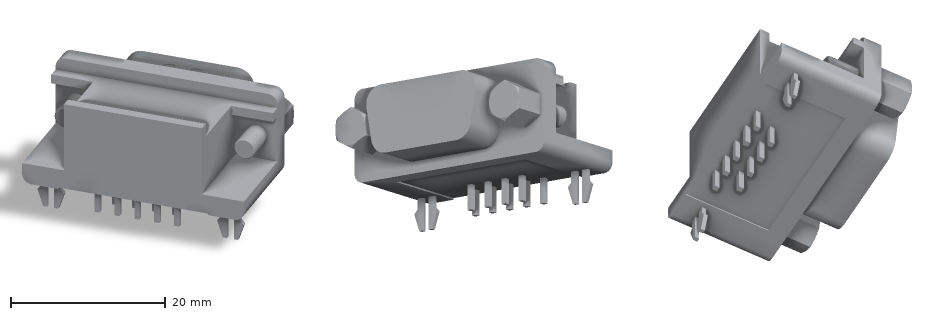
import cadquery as cq
import math


width = 30.8
housing_height = 12.5
housing_depth = 14.75
corner_radius = 1.32
flange_thickness = 2.55
flange_rear = housing_depth - flange_thickness
block_width = 19.15
block_height = 10.7
rear_wall_thickness = 1.4
floor_thickness = 2.85
ledge_depth = 1.6
ledge_thickness = 1.25
underside_recess_width = 20.9
underside_recess_depth = 0.22

shell_length = 6.13
shell_bottom = 1.6
shell_height = 9.2
shell_top_width = 18.67
shell_side_angle = 10.0
shell_corner_radius = 2.37

dimple_width = 1.5
dimple_length = 2.25
dimple_corner = 0.3
dimple_depth = 0.15
dimple_start = 16.4
dimple_spacing = 3.7

screw_spacing = 24.95
screw_height = 6.22
hex_across_flats = 4.78
hex_length = 4.85
hex_chamfer_angle = 30.0
stud_diameter = 2.9
stud_length = 4.38
stud_chamfer = 0.15

pin_count = 9
pin_pitch = 1.4
pin_width = 0.7
pin_thickness = 0.68
pin_length = 3.17
rear_row_y = 1.73
row_spacing = 2.83

lock_y = 3.02
lock_thickness = 0.6
lock_length = 4.38
prong_inner = 0.5
prong_outer = 1.32
barb_reach = 1.85
barb_start = 1.48
barb_peak = 2.03
prong_tip = 1.05


def block(x_size, y_start, y_end, z_start, z_end):
    """Box centred on X between the given Y and Z limits."""
    size = (x_size, y_end - y_start, z_end - z_start)
    return cq.Workplane("XY").box(*size, centered=(True, False, False)).translate((0, y_start, z_start))


def plate_along_y(points, y_start, thickness):
    """Closed XZ outline extruded towards +Y."""
    outline = cq.Workplane("XZ", origin=(0, y_start, 0)).polyline(points).close()
    return outline.extrude(-thickness)


def make_housing():
    flange = block(width, flange_rear, housing_depth, 0, housing_height).edges("|Y").fillet(corner_radius)
    floor = block(width, 0, flange_rear, 0, floor_thickness)
    floor = floor.edges("|Y and <Z").fillet(corner_radius)
    centre = block(block_width, 0, flange_rear, 0, block_height)
    rear_wall = block(block_width, 0, rear_wall_thickness, 0, housing_height)
    ledge = block(width, flange_rear - ledge_depth, flange_rear, block_height - ledge_thickness, block_height)
    recess = block(underside_recess_width, 0, flange_rear, 0, underside_recess_depth)
    return flange.union(floor).union(centre).union(rear_wall).union(ledge).cut(recess)


def make_shell():
    shell_top = shell_bottom + shell_height
    top_half = shell_top_width / 2
    bottom_half = top_half - shell_height * math.tan(math.radians(shell_side_angle))
    outline = [
        (-bottom_half, shell_bottom),
        (bottom_half, shell_bottom),
        (top_half, shell_top),
        (-top_half, shell_top),
    ]
    shell = plate_along_y(outline, housing_depth, shell_length)
    shell = shell.edges("|Y").fillet(shell_corner_radius)
    for x in (-dimple_spacing / 2, dimple_spacing / 2):
        dimple_end = dimple_start + dimple_length
        dimple = block(dimple_width, dimple_start, dimple_end, shell_top - dimple_depth, shell_top)
        dimple = dimple.edges("|Z and >Y").chamfer(dimple_corner)
        shell = shell.cut(dimple.translate((x, 0, 0)))
    return shell


def make_jack_screw(x):
    across_corners = hex_across_flats / math.cos(math.radians(30))
    corner_height = (across_corners - hex_across_flats) / 2
    chamfer_drop = corner_height * math.tan(math.radians(hex_chamfer_angle))
    front = cq.Workplane("XZ", origin=(x, housing_depth, screw_height))
    nut = front.transformed(rotate=(0, 0, 90)).polygon(6, across_corners).extrude(-hex_length)
    envelope = front.circle(across_corners / 2).extrude(-hex_length)
    envelope = envelope.faces(">Y").chamfer(chamfer_drop, corner_height)
    rear = cq.Workplane("XZ", origin=(x, flange_rear, screw_height))
    stud = rear.circle(stud_diameter / 2).extrude(stud_length).faces("<Y").chamfer(stud_chamfer)
    return nut.intersect(envelope).union(stud)


def make_pin(index):
    x = (index - (pin_count - 1) / 2) * pin_pitch
    row_y = rear_row_y + (index % 2) * row_spacing
    y_start = row_y - pin_thickness / 2
    pin = block(pin_width, y_start, y_start + pin_thickness, -pin_length, underside_recess_depth)
    return pin.translate((x, 0, 0))


def make_board_lock(x):
    def prong(side):
        profile = [
            (prong_inner, 0),
            (prong_outer, 0),
            (prong_outer, -barb_start),
            (barb_reach, -barb_peak),
            (prong_tip, -lock_length),
            (prong_inner, -lock_length),
        ]
        points = [(x + side * offset, z) for offset, z in profile]
        return plate_along_y(points, lock_y - lock_thickness / 2, lock_thickness)

    return prong(-1).union(prong(1))


result = make_housing().union(make_shell())
for screw_x in (-screw_spacing / 2, screw_spacing / 2):
    result = result.union(make_jack_screw(screw_x)).union(make_board_lock(screw_x))
for pin_index in range(pin_count):
    result = result.union(make_pin(pin_index))